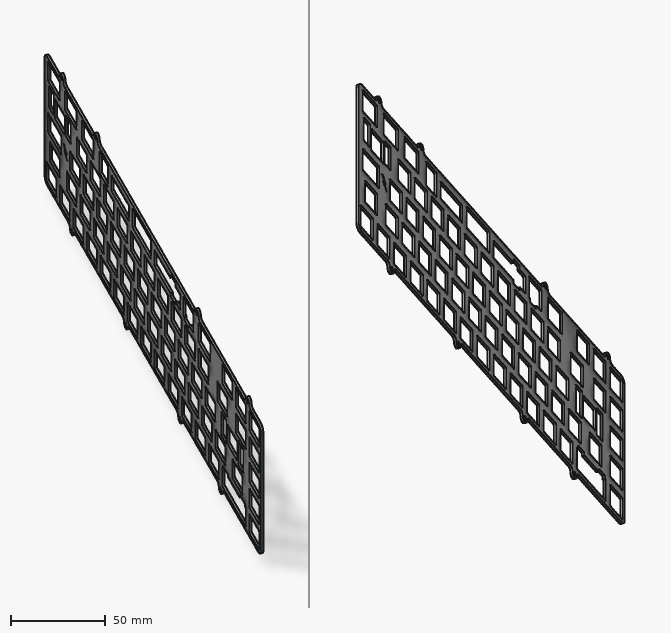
import cadquery as cq

WIDTH = 304.8
COLUMNS = 16
ROWS = 5
THICKNESS = 1.5
TOTAL_HEIGHT = 105.2
CORNER_RADIUS = 4.0
PITCH = WIDTH / COLUMNS
PLATE_HEIGHT = ROWS * PITCH
CUT_REACH = THICKNESS

KEY_MARGIN = 2.53
SWITCH = PITCH - 2 * KEY_MARGIN
WINDOW_FILLET = 0.5
SWITCH_ROWS = [
    [10.625, 13.5, 14.5, 15.5],
    [1.125] + [2.75 + i for i in range(10)] + [13.125, 14.5, 15.5],
    [2.25 + i for i in range(11)] + [13.875, 15.5],
    [0.75] + [2 + i for i in range(12)] + [14.25, 15.5],
    [0.5 + i for i in range(13)] + [15.5],
]

WIDE_SWITCHES = [
    (0, 0.625, 0.75),
    (0, 1.875, 2),
    (0, 3.125, 3.25),
    (0, 6.875, 7.5),
    (0, 11.75, 11.875),
    (2, 0.625, 0.875),
    (4, 13.5, 14.5),
]

STAB_WIDTH = 7.0
STAB_LONG = 8.8
STAB_SHORT = 6.0
STAB_SPREAD = 12.0

STAB_PAIRS = [
    (1, 1.125, STAB_SHORT, STAB_LONG),
    (2, 13.875, STAB_LONG, STAB_LONG),
    (4, 14, STAB_SHORT, STAB_LONG),
]

BAR_ROW = 0
BAR_STABS = [(4.25, 4.5), (9.5, 9.5), (10.5, 10.5)]
BAR_STAB_ABOVE = 6.7
BAR_STAB_BELOW = 9.0

WIRE_CHANNELS = [(-58.2, -33.5), (2.0, 38.7)]
CHANNEL_ABOVE = 4.3

SHIFTED_EAR = 72.0
TOP_EARS = [1.25, SHIFTED_EAR / PITCH, 11.25, 15]
BOTTOM_EARS = [2, 6, 10, 13]
EAR_RADIUS = 2.5
EAR_HOLE = 2.5
EAR_CENTRE = TOTAL_HEIGHT / 2 - EAR_RADIUS
EAR_FLARE = EAR_CENTRE - PLATE_HEIGHT / 2

BOLT = [
    (-125.5, 4.3),
    (-124.5, 4.3),
    (-121.3, 0.3),
    (-122.5, -0.3),
    (-120.5, -3.7),
    (-124.5, 0.3),
    (-123.5, 1.2),
]


def column_x(units):
    """X of a place given in key units from the left edge."""
    return units * PITCH - WIDTH / 2


def row_z(row):
    """Z of the centre line of a row, counted from the top."""
    return PLATE_HEIGHT / 2 - (row + 0.5) * PITCH


def window(row, left, right, below, above):
    """Rectangular cutter between two X values, reaching below and above the row centre."""
    return (
        cq.Workplane("XZ")
        .center((left + right) / 2, row_z(row) + (above - below) / 2)
        .rect(right - left, above + below)
        .extrude(CUT_REACH, both=True)
        .edges("|Y").fillet(WINDOW_FILLET)
    )


def switch_window(row, first, last):
    half = SWITCH / 2
    return window(row, column_x(first) - half, column_x(last) + half, half, half)


def stab_window(row, first_x, last_x, below, above):
    half = STAB_WIDTH / 2
    return window(row, first_x - half, last_x + half, below, above)


def stab_pair(row, key, below, above):
    """Stabilizers on both sides of the switch of a two-unit key."""
    centre = column_x(key)
    return [stab_window(row, x, x, below, above) for x in (centre - STAB_SPREAD, centre + STAB_SPREAD)]


def ear(units, side):
    """Round ear with flared roots on the top (side = 1) or bottom (side = -1) edge."""
    x = column_x(units)
    edge = side * PLATE_HEIGHT / 2
    centre = side * EAR_CENTRE
    inside = edge - side * EAR_RADIUS / 2
    root = EAR_RADIUS + EAR_FLARE
    bend = EAR_FLARE * (1 - 0.5**0.5)
    return (
        cq.Workplane("XZ")
        .moveTo(x - root, inside)
        .lineTo(x - root, edge)
        .threePointArc((x - EAR_RADIUS - bend, edge + side * bend), (x - EAR_RADIUS, centre))
        .threePointArc((x, centre + side * EAR_RADIUS), (x + EAR_RADIUS, centre))
        .threePointArc((x + EAR_RADIUS + bend, edge + side * bend), (x + root, edge))
        .lineTo(x + root, inside)
        .close()
        .extrude(THICKNESS / 2, both=True)
    )


def ear_hole(units, side):
    return (
        cq.Workplane("XZ")
        .center(column_x(units), side * EAR_CENTRE)
        .circle(EAR_HOLE / 2)
        .extrude(CUT_REACH, both=True)
    )


plate = cq.Workplane("XZ").rect(WIDTH, PLATE_HEIGHT).extrude(THICKNESS / 2, both=True)
plate = plate.edges("|Y").fillet(CORNER_RADIUS)
ear_places = [(units, 1) for units in TOP_EARS] + [(units, -1) for units in BOTTOM_EARS]
for place in ear_places:
    plate = plate.union(ear(*place))
cutters = [ear_hole(*place) for place in ear_places]

for row, keys in enumerate(SWITCH_ROWS):
    cutters += [switch_window(row, key, key) for key in keys]
cutters += [switch_window(*wide) for wide in WIDE_SWITCHES]

for pair in STAB_PAIRS:
    cutters += stab_pair(*pair)

for first, last in BAR_STABS:
    cutters.append(stab_window(BAR_ROW, column_x(first), column_x(last), BAR_STAB_BELOW, BAR_STAB_ABOVE))
for left, right in WIRE_CHANNELS:
    cutters.append(window(BAR_ROW, left, right, SWITCH / 2, CHANNEL_ABOVE))

cutters.append(cq.Workplane("XZ").polyline(BOLT).close().extrude(CUT_REACH, both=True))

result = cq.Workplane(plate.val().cut(*[cutter.val() for cutter in cutters]).Solids()[0])